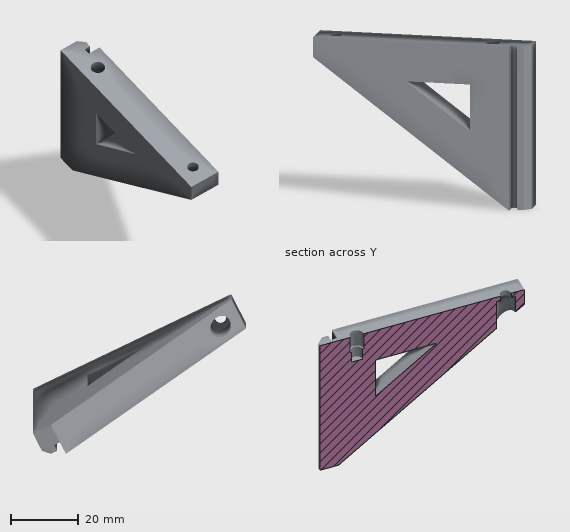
import cadquery as cq
import math

length = 66
thickness = 10.0
height = 50.0

tip_width = 6.0
slope_angle = math.atan2(height - tip_width, length - tip_width)

frame_width = 12.0
window_left = tip_width + frame_width
window_top = -frame_width

hook_step = thickness / 5
hook_edge = tip_width - hook_step
ridge_level = thickness - hook_step
groove_level = ridge_level - hook_step

hole_y = thickness / 2
through_hole_x = length - tip_width
blind_hole_x = 2 * tip_width
hole_diameter = 3.4
insert_diameter = 4.3
insert_depth = 6.0
blind_depth = 10.0
head_diameter = 6.0
head_seat_depth = 2


def slope_z(x):
    """Height of the sloping lower edge at position x."""
    return -height + (x - tip_width) * math.tan(slope_angle)


def extrude_outline(points):
    """Extrude an XZ outline through the full plate thickness."""
    return cq.Workplane("XZ").polyline(points).close().extrude(-thickness)


def make_plate():
    return extrude_outline([
        (0, 0),
        (length, 0),
        (length, -tip_width),
        (tip_width, -height),
        (0, -height),
    ])


def make_window():
    vertical_frame = frame_width / math.cos(slope_angle)
    window_bottom = slope_z(window_left) + vertical_frame
    window_right = window_left + (window_top - window_bottom) / math.tan(slope_angle)
    return extrude_outline([
        (window_left, window_top),
        (window_right, window_top),
        (window_left, window_bottom),
    ])


def make_hook_relief():
    """Material removed to leave the chamfered ridge and its groove."""
    return (
        cq.Workplane("XY")
        .polyline([
            (0, thickness),
            (0, groove_level),
            (hook_step, ridge_level),
            (hook_edge, ridge_level),
            (hook_edge, groove_level),
            (tip_width, groove_level),
            (tip_width, thickness),
        ])
        .close()
        .extrude(-height)
    )


def make_hole(x, diameter, depth, start_depth=0):
    """Vertical cylinder between two depths below the top face."""
    return (
        cq.Workplane("XY", origin=(x, hole_y, -start_depth))
        .circle(diameter / 2)
        .extrude(start_depth - depth)
    )


result = (
    make_plate()
    .cut(make_window())
    .cut(make_hook_relief())
    .cut(make_hole(through_hole_x, hole_diameter, height))
    .cut(make_hole(through_hole_x, head_diameter, height, head_seat_depth))
    .cut(make_hole(blind_hole_x, insert_diameter, insert_depth))
    .cut(make_hole(blind_hole_x, hole_diameter, blind_depth))
)